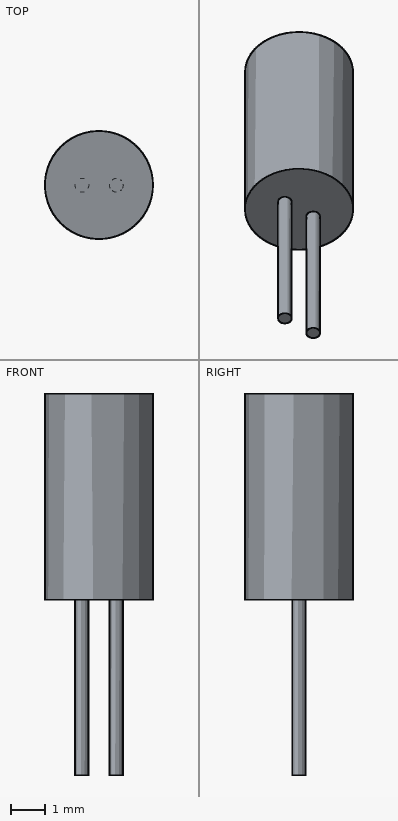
import cadquery as cq

can_diameter = 3.15
can_height = 6.0
lead_diameter = 0.4
lead_length = 5.1
lead_spacing = 1.0


def make_can():
    """Closed cylindrical can with its base on Z = 0."""
    return cq.Workplane("XY").circle(can_diameter / 2).extrude(can_height)


def make_lead(x_position):
    """Straight round lead that touches the base of the can and points down."""
    return cq.Workplane("XY").center(x_position, 0).circle(lead_diameter / 2).extrude(-lead_length)


can = make_can()
leads = [make_lead(side * lead_spacing / 2) for side in (-1, 1)]

result = cq.Compound.makeCompound([can.val(), *[lead.val() for lead in leads]])